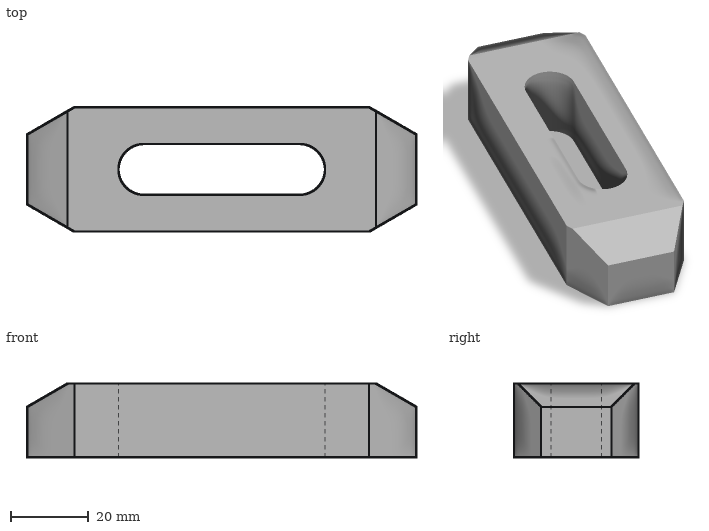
import math

import cadquery as cq

LENGTH = 100.0
WIDTH = 32.0
HEIGHT = 19.0

TAPER_ANGLE = math.radians(30.0)
NOSE_WIDTH = 18.0
NOSE_HEIGHT = 13.0
SIDE_TAPER_LENGTH = (WIDTH - NOSE_WIDTH) / 2 / math.tan(TAPER_ANGLE)
TOP_TAPER_LENGTH = (HEIGHT - NOSE_HEIGHT) / math.tan(TAPER_ANGLE)

SLOT_LENGTH = 53.0
SLOT_WIDTH = 13.0


def plan_body():
    """Block with both ends narrowed in plan, standing on Z = 0."""
    half_length = LENGTH / 2
    half_width = WIDTH / 2
    half_nose = NOSE_WIDTH / 2
    shoulder = half_length - SIDE_TAPER_LENGTH
    outline = [
        (-half_length, -half_nose),
        (-shoulder, -half_width),
        (shoulder, -half_width),
        (half_length, -half_nose),
        (half_length, half_nose),
        (shoulder, half_width),
        (-shoulder, half_width),
        (-half_length, half_nose),
    ]
    return cq.Workplane("XY").polyline(outline).close().extrude(HEIGHT)


def side_profile():
    """Full-width prism whose top slopes down to the nose at each end."""
    half_length = LENGTH / 2
    shoulder = half_length - TOP_TAPER_LENGTH
    outline = [
        (-half_length, 0),
        (half_length, 0),
        (half_length, NOSE_HEIGHT),
        (shoulder, HEIGHT),
        (-shoulder, HEIGHT),
        (-half_length, NOSE_HEIGHT),
    ]
    return cq.Workplane("XZ").polyline(outline).close().extrude(WIDTH / 2, both=True)


def through_slot():
    """Round-ended slot along X, passing through the full height."""
    return cq.Workplane("XY").slot2D(SLOT_LENGTH, SLOT_WIDTH).extrude(HEIGHT)


result = plan_body().intersect(side_profile()).cut(through_slot())